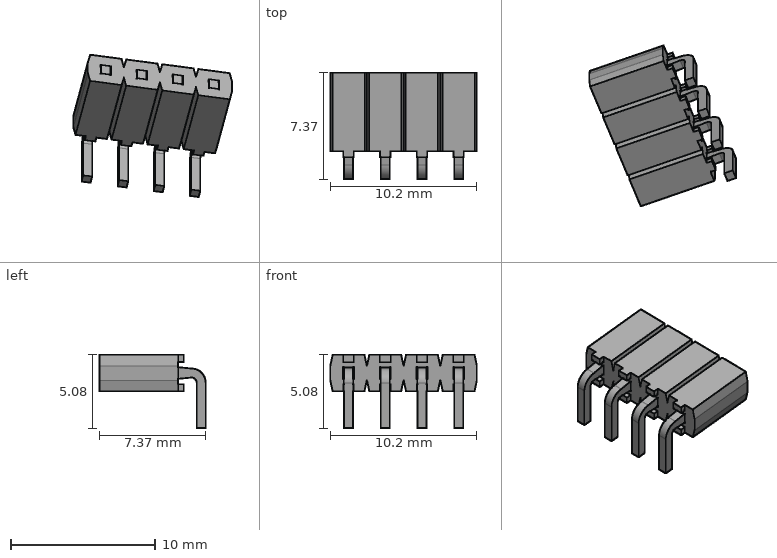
import cadquery as cq
import math

pin_count = 4
total_width = 10.16
total_depth = 7.37
total_height = 5.08

pitch = total_width / pin_count
housing_height = pitch
housing_depth = 5.46
side_flat_height = 1.02
side_bevel_width = 0.16

slot_width = 0.74
slot_height = 0.82
standoff_height = 0.51
standoff_depth = 0.39

pin_thickness = 0.64
inner_bend_radius = 0.36
outer_bend_radius = inner_bend_radius + pin_thickness

housing_top = housing_height / 2
pin_tip_z = housing_top - total_height
leg_front_y = housing_depth - total_depth
leg_back_y = leg_front_y + pin_thickness
bend_center_y = leg_front_y + outer_bend_radius
bend_center_z = -pin_thickness / 2 - inner_bend_radius
cell_centers = [(i - (pin_count - 1) / 2) * pitch for i in range(pin_count)]


def block(width, depth, height, center_x, front_y, center_z):
    """Box placed by its middle in X and Z and its front face in Y."""
    return (
        cq.Workplane("XY")
        .box(width, depth, height, centered=(True, False, True))
        .translate((center_x, front_y, center_z))
    )


def cell_top_corners(center_x):
    """Outline corners of one cell: its left flat, then both ends of its top face."""
    half_cell = pitch / 2
    half_top = half_cell - side_bevel_width
    return [
        (center_x - half_cell, side_flat_height / 2),
        (center_x - half_top, housing_top),
        (center_x + half_top, housing_top),
    ]


def make_housing():
    """Housing with V notches between cells, front standoffs and a through slot per pin."""
    upper_edge = [point for x in cell_centers for point in cell_top_corners(x)]
    upper_edge.append((total_width / 2, side_flat_height / 2))
    lower_edge = [(x, -z) for x, z in reversed(upper_edge)]
    body = (
        cq.Workplane("XZ")
        .polyline(upper_edge + lower_edge)
        .close()
        .extrude(-housing_depth)
    )
    standoff_z = housing_top - standoff_height / 2
    for x in cell_centers:
        for z in (standoff_z, -standoff_z):
            body = body.union(block(slot_width, standoff_depth, standoff_height, x, -standoff_depth, z))
        body = body.cut(block(slot_width, housing_depth, slot_height, x, 0, 0))
    return body


def make_pin(center_x):
    """Right-angle pin: straight in the slot, tapering to the bend, then a leg downwards."""
    half_slot = slot_height / 2
    half_pin = pin_thickness / 2
    outer_reach = outer_bend_radius * math.sqrt(0.5)
    inner_reach = inner_bend_radius * math.sqrt(0.5)
    profile = (
        cq.Workplane("YZ")
        .moveTo(housing_depth, half_slot)
        .lineTo(0, half_slot)
        .lineTo(bend_center_y, half_pin)
        .threePointArc(
            (bend_center_y - outer_reach, bend_center_z + outer_reach),
            (leg_front_y, bend_center_z),
        )
        .lineTo(leg_front_y, pin_tip_z)
        .lineTo(leg_back_y, pin_tip_z)
        .lineTo(leg_back_y, bend_center_z)
        .threePointArc(
            (bend_center_y - inner_reach, bend_center_z + inner_reach),
            (bend_center_y, -half_pin),
        )
        .lineTo(0, -half_slot)
        .lineTo(housing_depth, -half_slot)
        .close()
    )
    return profile.extrude(half_pin, both=True).translate((center_x, 0, 0))


housing = make_housing()
pins = [make_pin(x) for x in cell_centers]

result = cq.Compound.makeCompound([housing.val(), *[pin.val() for pin in pins]])